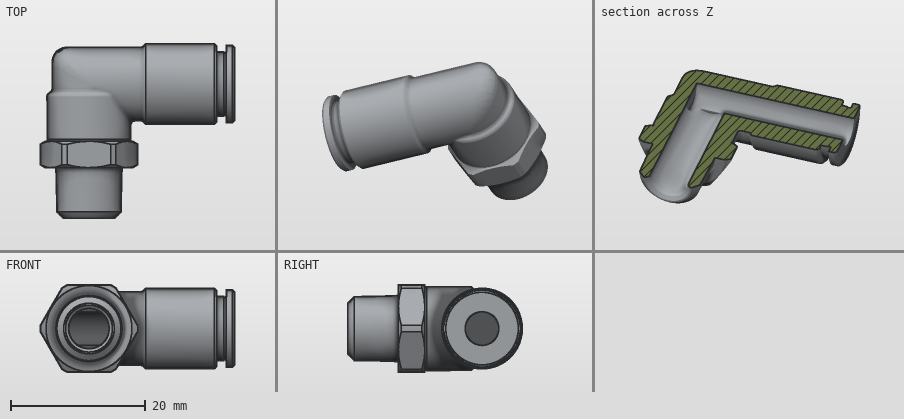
import cadquery as cq
import math


elbow_radius = 5.5
corner_round = 2.5

collar_radius = 6.0
collar_start = 8.47
collar_end = 19.0
collar_chamfer = 0.35
collar_root_fillet = 0.5

sleeve_radius = 4.8
sleeve_end = 20.05
neck_radius = 4.65
neck_fillet = 0.2
flange_radius = 5.75
flange_start = 20.45
flange_end = 21.7
flange_chamfer = 0.35

body_radius = 6.25
shoulder_start = 1.02
shoulder_end = 1.57
shoulder_fillet = 0.5
body_end = 8.25
body_foot_radius = 6.1

nut_start = 8.5
nut_end = 12.5
nut_across_flats = 13.0
nut_corner_radius = 7.25
nut_front_radius = 6.4
nut_back_radius = 6.45
nut_chamfer_angle = 30.0

thread_end = 20.0
thread_root_radius = 4.93
thread_tip_radius = 4.77
thread_chamfer = 1.0

inlet_radius = 3.0
inlet_chamfer = 0.5
outlet_radius = 2.5


def turned_x(outline):
    """Revolve (x, radius) points around the X axis."""
    return cq.Workplane("XY").polyline(outline).close().revolve(360, (0, 0, 0), (1, 0, 0))


def turned_y(outline):
    """Revolve (distance, radius) points around the Y axis, distance towards -Y."""
    points = [(radius, -distance) for distance, radius in outline]
    return cq.Workplane("XY").polyline(points).close().revolve(360, (0, 0, 0), (0, 1, 0))


def cylinder_x(radius, start, end):
    return turned_x([(start, 0), (start, radius), (end, radius), (end, 0)])


def cylinder_y(radius, start, end):
    return turned_y([(start, 0), (start, radius), (end, radius), (end, 0)])


def blend_shoulder(legs):
    """Round the rim of the shoulder cone and the seam between the body and the elbow."""
    tolerance = 0.01
    blended = []
    for edge in legs.edges().vals():
        is_circle = edge.geomType() == "CIRCLE"
        at_rim = is_circle and abs(edge.Center().y + shoulder_end) < tolerance
        at_neck = is_circle and abs(edge.Center().y + shoulder_start) < tolerance
        on_seam = edge.geomType() == "BSPLINE"
        if at_rim or at_neck or on_seam:
            blended.append(edge)
    return legs.newObject(blended).fillet(shoulder_fillet)


def make_legs():
    """Both elbow legs with the swivel body, blended where they meet."""
    legs = cylinder_x(elbow_radius, 0, collar_end)
    legs = legs.union(cylinder_y(elbow_radius, 0, nut_start))
    body = turned_y([
        (shoulder_start, 0),
        (shoulder_start, elbow_radius),
        (shoulder_end, body_radius),
        (body_end, body_radius),
        (nut_start, body_foot_radius),
        (nut_start, 0),
    ])
    return blend_shoulder(legs.union(body))


def corner_wedge(points):
    """Triangular prism over the outer corner, used to trim the corner surfaces."""
    return cq.Workplane("XY").polyline(points).close().extrude(2 * elbow_radius, both=True)


def make_corner():
    """Outer corner of the elbow: the two legs run on to slanted planes and an ellipsoid joins them."""
    tangent = elbow_radius - corner_round

    x_leg = cylinder_x(elbow_radius, -elbow_radius, 0)
    x_leg = x_leg.intersect(corner_wedge([(0, 0), (0, elbow_radius), (-tangent, elbow_radius)]))
    y_leg = cylinder_y(elbow_radius, -elbow_radius, 0)
    y_leg = y_leg.intersect(corner_wedge([(0, 0), (-elbow_radius, 0), (-elbow_radius, tangent)]))

    diagonal = (elbow_radius + tangent) / math.sqrt(2)
    offset = (elbow_radius - tangent) / math.sqrt(2)
    long_axis = math.sqrt(diagonal * (diagonal + offset))
    short_axis = math.sqrt(offset * (diagonal + offset))
    stretch = cq.Matrix([
        [long_axis, 0, 0, 0],
        [0, short_axis, 0, 0],
        [0, 0, elbow_radius, 0],
    ])
    half_angle = math.degrees(math.atan(math.sqrt(offset / diagonal)))
    segment = (
        cq.Workplane("XZ")
        .moveTo(0, -1)
        .threePointArc((1, 0), (0, 1))
        .close()
        .revolve(2 * half_angle, (0, 0, 0), (0, 1, 0))
    )
    segment = segment.rotate((0, 0, 0), (0, 0, 1), -half_angle)
    middle = cq.Workplane(segment.val().transformGeometry(stretch))
    middle = middle.rotate((0, 0, 0), (0, 0, 1), 135)
    return x_leg.union(y_leg).union(middle)


def make_collar():
    """Collar on the tube leg, with a 45 degree back face."""
    step = collar_radius - elbow_radius
    root = collar_start - step
    half_sweep = math.radians(45 / 2)
    setback = collar_root_fillet * math.tan(half_sweep)
    drop = setback / math.sqrt(2)
    middle_x = root - setback + collar_root_fillet * math.sin(half_sweep)
    middle_radius = elbow_radius + collar_root_fillet * (1 - math.cos(half_sweep))
    return (
        cq.Workplane("XY")
        .moveTo(root - setback, 0)
        .lineTo(root - setback, elbow_radius)
        .threePointArc((middle_x, middle_radius), (root + drop, elbow_radius + drop))
        .lineTo(collar_start, collar_radius)
        .lineTo(collar_end - collar_chamfer, collar_radius)
        .lineTo(collar_end, collar_radius - collar_chamfer)
        .lineTo(collar_end, 0)
        .close()
        .revolve(360, (0, 0, 0), (1, 0, 0))
    )


def make_sleeve():
    """Release sleeve with a narrow neck behind its end flange."""
    return (
        cq.Workplane("XY")
        .moveTo(collar_end, 0)
        .lineTo(collar_end, sleeve_radius)
        .lineTo(sleeve_end, sleeve_radius)
        .lineTo(sleeve_end, neck_radius)
        .lineTo(flange_start - neck_fillet, neck_radius)
        .radiusArc((flange_start, neck_radius + neck_fillet), -neck_fillet)
        .lineTo(flange_start, flange_radius)
        .lineTo(flange_end - flange_chamfer, flange_radius)
        .lineTo(flange_end, flange_radius - flange_chamfer)
        .lineTo(flange_end, 0)
        .close()
        .revolve(360, (0, 0, 0), (1, 0, 0))
    )


def make_nut():
    """Hexagon with corners pointing along X, turned down and chamfered on both faces."""
    corner_diameter = nut_across_flats / math.cos(math.radians(30))
    hexagon = (
        cq.Workplane("XZ", origin=(0, -nut_start, 0))
        .polygon(6, corner_diameter)
        .extrude(nut_end - nut_start)
    )
    chamfer_slope = math.tan(math.radians(nut_chamfer_angle))
    back_chamfer = (nut_corner_radius - nut_back_radius) * chamfer_slope
    front_chamfer = (nut_corner_radius - nut_front_radius) * chamfer_slope
    blank = turned_y([
        (nut_start, 0),
        (nut_start, nut_back_radius),
        (nut_start + back_chamfer, nut_corner_radius),
        (nut_end - front_chamfer, nut_corner_radius),
        (nut_end, nut_front_radius),
        (nut_end, 0),
    ])
    return hexagon.intersect(blank)


def make_thread():
    """Plain tapered cone of the thread, chamfered at the tip."""
    return turned_y([
        (nut_end, 0),
        (nut_end, thread_root_radius),
        (thread_end - thread_chamfer, thread_tip_radius),
        (thread_end, thread_tip_radius - thread_chamfer),
        (thread_end, 0),
    ])


def make_bores():
    """Inlet bore up to the crossing of the axes, and the outlet bore along the tube leg."""
    inlet = turned_y([
        (0, 0),
        (0, inlet_radius),
        (thread_end - inlet_chamfer, inlet_radius),
        (thread_end, inlet_radius + inlet_chamfer),
        (thread_end, 0),
    ])
    return inlet.union(cylinder_x(outlet_radius, -inlet_radius, flange_end))


fitting = make_legs().union(make_corner())
fitting = fitting.union(make_collar()).union(make_sleeve())
fitting = fitting.union(make_nut()).union(make_thread())
result = fitting.cut(make_bores())